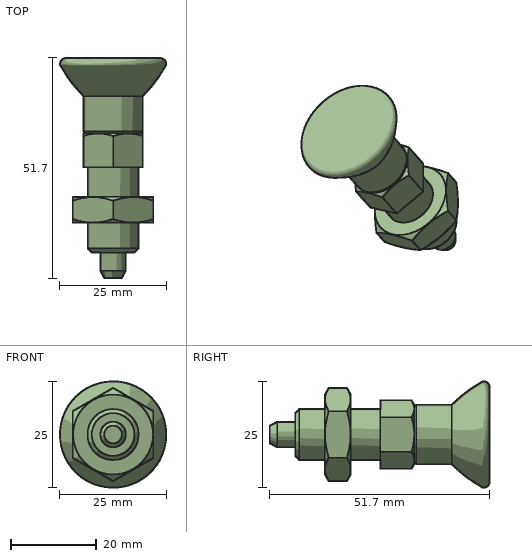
import cadquery as cq
import math

total_length = 51.7

pin_diameter = 6.0
pin_taper_length = 1.75
pin_tip_diameter = 4.15

body_start = 6.0
body_diameter = 12.0
body_chamfer = 1.0

nut_start = 13.0
nut_thickness = 6.1
nut_flats = 18.95

collar_start = 26.0
collar_end = 34.0
collar_flats = 14.0

hex_chamfer_angle = 30.0
hex_chamfer_inset = 0.1

neck_diameter = 14.0
neck_chamfer = 0.4
flank_start = 42.75
knob_diameter = 25.0
face_round = 1.45
rim_round = 0.65
rim_round_angle = math.radians(30)
flank_bulge = 0.3

pin_radius = pin_diameter / 2
body_radius = body_diameter / 2
neck_radius = neck_diameter / 2
knob_radius = knob_diameter / 2


def turned(profile):
    """Revolve a closed half profile, drawn as (radius, y), about the Y axis."""
    return profile.close().revolve(360, (0, 0, 0), (0, 1, 0))


def hexagon(start, end, flats, chamfer_both_ends):
    """Hexagonal prism with corners on +Z and -Z, chamfered at its end or at both ends."""
    corner_radius = flats / math.sqrt(3)
    corner_angles = [math.radians(60 * i) for i in range(6)]
    corners = [(corner_radius * math.sin(a), corner_radius * math.cos(a)) for a in corner_angles]
    prism = cq.Workplane("XZ").workplane(offset=-start).polyline(corners).close().extrude(start - end)

    face_radius = flats / 2 - hex_chamfer_inset
    chamfer_height = (corner_radius - face_radius) * math.tan(math.radians(hex_chamfer_angle))
    envelope = cq.Workplane("XY").moveTo(0, start)
    if chamfer_both_ends:
        envelope = envelope.lineTo(face_radius, start).lineTo(corner_radius, start + chamfer_height)
    else:
        envelope = envelope.lineTo(corner_radius, start)
    envelope = envelope.lineTo(corner_radius, end - chamfer_height).lineTo(face_radius, end).lineTo(0, end)
    return prism.intersect(turned(envelope))


def make_pin():
    return turned(
        cq.Workplane("XY")
        .lineTo(pin_tip_diameter / 2, 0)
        .lineTo(pin_radius, pin_taper_length)
        .lineTo(pin_radius, body_start)
        .lineTo(0, body_start)
    )


def make_body():
    return turned(
        cq.Workplane("XY")
        .moveTo(0, body_start)
        .lineTo(body_radius - body_chamfer, body_start)
        .lineTo(body_radius, body_start + body_chamfer)
        .lineTo(body_radius, collar_start)
        .lineTo(0, collar_start)
    )


def make_knob():
    rim_y = total_length - face_round
    rim_round_centre = knob_radius - rim_round

    def on_rim_round(angle):
        return (rim_round_centre + rim_round * math.cos(angle), rim_y - rim_round * math.sin(angle))

    flank_end_radius, flank_end_y = on_rim_round(rim_round_angle)
    rise = flank_end_radius - neck_radius
    run = flank_end_y - flank_start
    chord = math.hypot(rise, run)
    flank_middle = (
        neck_radius + rise / 2 + flank_bulge * run / chord,
        flank_start + run / 2 - flank_bulge * rise / chord,
    )

    face_centre = knob_radius - face_round
    diagonal = face_round * math.sqrt(0.5)
    return turned(
        cq.Workplane("XY")
        .moveTo(0, collar_end)
        .lineTo(neck_radius - neck_chamfer, collar_end)
        .lineTo(neck_radius, collar_end + neck_chamfer)
        .lineTo(neck_radius, flank_start)
        .threePointArc(flank_middle, (flank_end_radius, flank_end_y))
        .threePointArc(on_rim_round(rim_round_angle / 2), (knob_radius, rim_y))
        .threePointArc((face_centre + diagonal, rim_y + diagonal), (face_centre, total_length))
        .lineTo(0, total_length)
    )


nut = hexagon(nut_start, nut_start + nut_thickness, nut_flats, chamfer_both_ends=True)
collar = hexagon(collar_start, collar_end, collar_flats, chamfer_both_ends=False)

result = make_pin().union(make_body()).union(nut).union(collar).union(make_knob())